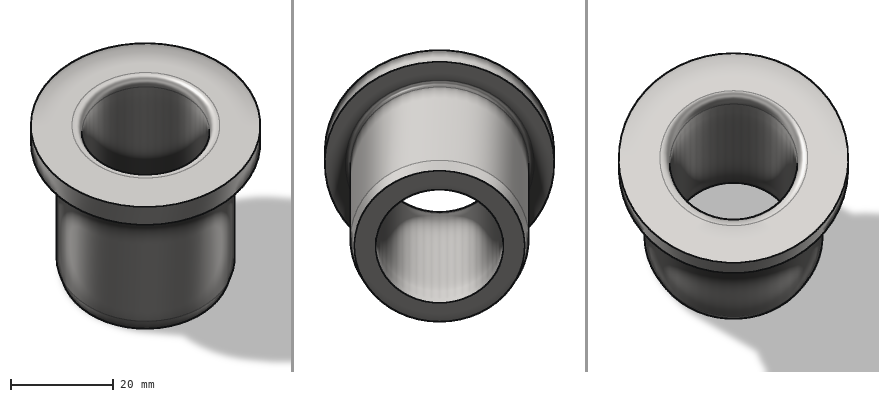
import cadquery as cq
import math

flange_diameter = 45.0
body_diameter = 35.0
bore_diameter = 25.0
total_height = 40.0
flange_thickness = 5.0
neck_fillet_radius = 1.0
bore_round_radius = 2.0
lead_in_height = 3.0
lead_in_angle = 15.0

flange_radius = flange_diameter / 2
body_radius = body_diameter / 2
bore_radius = bore_diameter / 2
flange_underside = total_height - flange_thickness
lead_in_depth = lead_in_height * math.tan(math.radians(lead_in_angle))


def round_arc_middle(center_x, center_z, radius, x_side, z_side):
    """Midpoint of a quarter arc lying on the given side of its center."""
    offset = radius * math.sqrt(0.5)
    return center_x + x_side * offset, center_z + z_side * offset


neck_arc_middle = round_arc_middle(
    body_radius + neck_fillet_radius, flange_underside - neck_fillet_radius, neck_fillet_radius, -1, 1
)
mouth_arc_middle = round_arc_middle(
    bore_radius + bore_round_radius, total_height - bore_round_radius, bore_round_radius, -1, 1
)
half_section = (
    cq.Workplane("XZ")
    .moveTo(bore_radius, 0)
    .lineTo(body_radius - lead_in_depth, 0)
    .lineTo(body_radius, lead_in_height)
    .lineTo(body_radius, flange_underside - neck_fillet_radius)
    .threePointArc(neck_arc_middle, (body_radius + neck_fillet_radius, flange_underside))
    .lineTo(flange_radius, flange_underside)
    .lineTo(flange_radius, total_height)
    .lineTo(bore_radius + bore_round_radius, total_height)
    .threePointArc(mouth_arc_middle, (bore_radius, total_height - bore_round_radius))
    .close()
)

result = half_section.revolve(360, (0, 0, 0), (0, 1, 0))